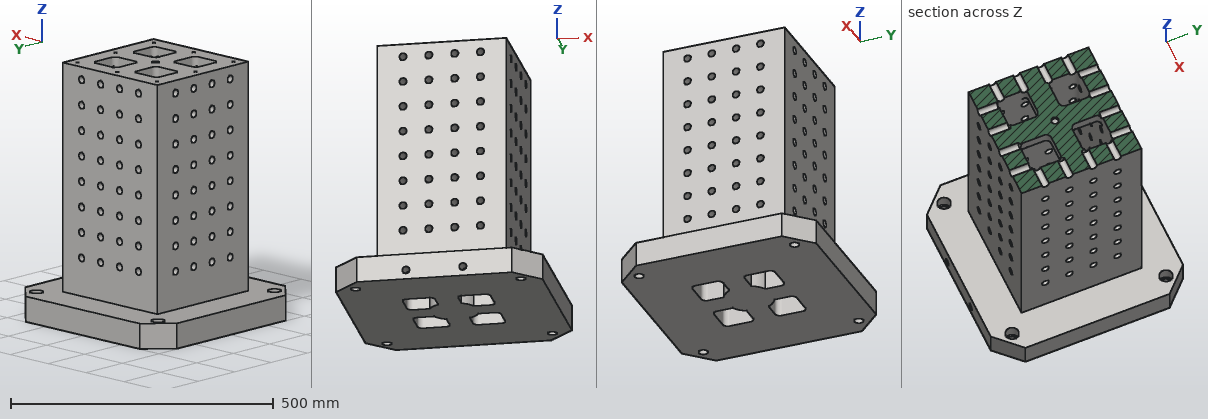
import cadquery as cq
import math

base_side = 400.0
base_height = 50.0
base_corner_cut = 50.0
mount_spacing = 320.0
mount_diameter = 18.0
mount_recess_diameter = 26.0
mount_recess_depth = 25.0

total_height = 500.0
tower_side = 250.0
wall = 40.0
cavity_side = tower_side - 2 * wall
corner_radius = 10.0
top_plate_thickness = 45.0
rib_root_radius = corner_radius
plate_underside = total_height - top_plate_thickness

rib_width = 45.0
window_side = (cavity_side - rib_width) / 2
window_spacing = rib_width + window_side

hub_diameter = 97.0

drill_tip_angle = 118.0
thread_diameter = 14.0
wall_hole_depth = wall
grid_pitch = 50.0
grid_columns = 4
grid_rows = 8
grid_top_height = total_height - 25.0
center_hole_depth = 30.0
base_hole_spacing = 110.0
base_hole_height = 18.0
base_hole_depth = 30.0
pin_diameter = 5.0
pin_pitch = 105.0
pin_depth = 15.0


def square_block(side, height):
    """Square block centered on the Z axis, standing on Z = 0."""
    return cq.Workplane("XY").box(side, side, height, centered=(True, True, False))


def drilled_hole(diameter, depth, start, direction):
    """Blind hole of full diameter to the given depth, ending in a cone."""
    radius = diameter / 2
    tip_length = radius / math.tan(math.radians(drill_tip_angle / 2))
    outline = [(0, 0), (radius, 0), (radius, depth), (0, depth + tip_length)]
    axis = cq.Vector(*direction)
    across = axis.cross(cq.Vector(1, 1, 1))
    axial_plane = cq.Plane(start, xDir=across, normal=across.cross(axis))
    return cq.Workplane(axial_plane).polyline(outline).close().revolve(360, (0, 0), (0, 1))


def make_base():
    """Square plate with cut corners and a counterbored hole near each corner."""
    plate = square_block(base_side, base_height).edges("|Z").chamfer(base_corner_cut)
    return (
        plate.faces(">Z")
        .workplane()
        .rect(mount_spacing, mount_spacing, forConstruction=True)
        .vertices()
        .cboreHole(mount_diameter, mount_recess_diameter, mount_recess_depth)
    )


def make_cavity():
    """Square hollow between the base and the top plate, rounded where walls and plate meet."""
    cavity = square_block(cavity_side, plate_underside - base_height)
    cavity = cavity.edges("|Z").fillet(corner_radius)
    return cavity.faces(">Z").edges().fillet(rib_root_radius).translate((0, 0, base_height))


def make_windows(bottom, height):
    """Four rounded square openings that leave crossed ribs in the plate they pass through."""
    return (
        cq.Workplane("XY")
        .workplane(offset=bottom)
        .rect(window_spacing, window_spacing, forConstruction=True)
        .vertices()
        .rect(window_side, window_side)
        .extrude(height)
        .edges("|Z")
        .fillet(corner_radius)
    )


def make_hub():
    """Round hub as high as the base."""
    return cq.Workplane("XY").circle(hub_diameter / 2).extrude(base_height)


def wall_holes():
    """Grid of blind holes drilled inward from all four tower sides."""
    face = tower_side / 2
    holes = []
    for row in range(grid_rows):
        z = grid_top_height - row * grid_pitch
        for column in range(grid_columns):
            across = (column - (grid_columns - 1) / 2) * grid_pitch
            for side in (-1, 1):
                along_x = ((side * face, across, z), (-side, 0, 0))
                along_y = ((across, side * face, z), (0, -side, 0))
                for start, direction in (along_x, along_y):
                    holes.append(drilled_hole(thread_diameter, wall_hole_depth, start, direction))
    return holes


def top_holes():
    """Central threaded hole and a ring of eight small holes in the top face."""
    down = (0, 0, -1)
    holes = [drilled_hole(thread_diameter, center_hole_depth, (0, 0, total_height), down)]
    positions = (-pin_pitch, 0, pin_pitch)
    for x in positions:
        for y in positions:
            if x != 0 or y != 0:
                holes.append(drilled_hole(pin_diameter, pin_depth, (x, y, total_height), down))
    return holes


def base_holes():
    """Pair of blind holes in the -Y edge of the base."""
    return [
        drilled_hole(
            thread_diameter,
            base_hole_depth,
            (side * base_hole_spacing / 2, -base_side / 2, base_hole_height),
            (0, 1, 0),
        )
        for side in (-1, 1)
    ]


tower = square_block(tower_side, total_height)
body = make_base().union(tower)
body = body.cut(make_cavity())
window_bottom = plate_underside - rib_root_radius
body = body.cut(make_windows(window_bottom, total_height - window_bottom))
body = body.cut(make_windows(0, base_height).cut(make_hub()))
for hole in wall_holes() + top_holes() + base_holes():
    body = body.cut(hole)
result = body